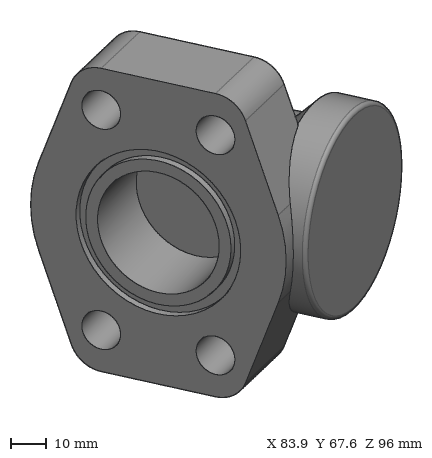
import cadquery as cq
import math

height = 96.0
half_width = 39.9
flange_thickness = 25.1
corner_radius = 10.0
hole_spacing_x = 35.7
hole_spacing_z = 69.7
hole_diameter = 12.1

groove_outer_diameter = 51.5
groove_inner_diameter = 45.4
groove_depth = 2.4
bore_diameter = 38.0
bore_depth = flange_thickness

outlet_axis_y = 36.1
bend_radius = 24.0
pipe_radius = 24.2
collar_radius = 31.5
collar_end_x = 44.0
collar_edge_radius = 1.2
cone_length = collar_radius - pipe_radius

bend_y = outlet_axis_y - bend_radius


def cylinder_y(diameter, depth):
    """Cylinder about the bore axis, running inward from the front face."""
    return cq.Workplane("XZ").circle(diameter / 2).extrude(-depth)


def make_flange():
    corner_x = hole_spacing_x / 2
    corner_z = height / 2 - corner_radius
    centre_distance = math.hypot(corner_x, corner_z)
    normal = math.atan2(corner_z, corner_x) - math.acos((half_width - corner_radius) / centre_distance)
    side_x = half_width * math.cos(normal)
    side_z = half_width * math.sin(normal)
    flank_x = corner_x + corner_radius * math.cos(normal)
    flank_z = corner_z + corner_radius * math.sin(normal)
    arc_middle = (normal + math.pi / 2) / 2
    middle_x = corner_x + corner_radius * math.cos(arc_middle)
    middle_z = corner_z + corner_radius * math.sin(arc_middle)
    outline = (
        cq.Workplane("XZ")
        .moveTo(side_x, -side_z)
        .threePointArc((half_width, 0), (side_x, side_z))
        .lineTo(flank_x, flank_z)
        .threePointArc((middle_x, middle_z), (corner_x, height / 2))
        .lineTo(-corner_x, height / 2)
        .threePointArc((-middle_x, middle_z), (-flank_x, flank_z))
        .lineTo(-side_x, side_z)
        .threePointArc((-half_width, 0), (-side_x, -side_z))
        .lineTo(-flank_x, -flank_z)
        .threePointArc((-middle_x, -middle_z), (-corner_x, -height / 2))
        .lineTo(corner_x, -height / 2)
        .threePointArc((middle_x, -middle_z), (flank_x, -flank_z))
        .close()
    )
    return outline.extrude(-flange_thickness)


def make_elbow():
    """Quarter bend from the bore axis to the outlet axis.

    The pipe radius is slightly over the bend radius, so the revolved section is
    the pipe circle closed by the short chord that lies on the bend line.
    """
    half_chord = math.sqrt(pipe_radius**2 - bend_radius**2)
    section = (
        cq.Workplane("YZ", origin=(bend_radius, 0, 0))
        .moveTo(bend_y, -half_chord)
        .threePointArc((outlet_axis_y + pipe_radius, 0), (bend_y, half_chord))
        .close()
    )
    return section.revolve(90, (bend_y, -1), (bend_y, 1))


def make_collar():
    cone_end_x = bend_radius + cone_length
    profile = (
        cq.Workplane("XY")
        .moveTo(bend_radius, outlet_axis_y)
        .lineTo(bend_radius, outlet_axis_y + pipe_radius)
        .lineTo(cone_end_x, outlet_axis_y + collar_radius)
        .lineTo(collar_end_x, outlet_axis_y + collar_radius)
        .lineTo(collar_end_x, outlet_axis_y)
        .close()
    )
    collar = profile.revolve(360, (bend_radius, outlet_axis_y), (collar_end_x, outlet_axis_y))
    return collar.faces(">X").edges().fillet(collar_edge_radius)


def make_mounting_holes():
    return (
        cq.Workplane("XZ")
        .rarray(hole_spacing_x, hole_spacing_z, 2, 2)
        .circle(hole_diameter / 2)
        .extrude(-flange_thickness)
    )


groove = cylinder_y(groove_outer_diameter, groove_depth).cut(cylinder_y(groove_inner_diameter, groove_depth))

result = (
    make_flange()
    .union(make_elbow())
    .union(make_collar())
    .cut(make_mounting_holes())
    .cut(groove)
    .cut(cylinder_y(bore_diameter, bore_depth))
)